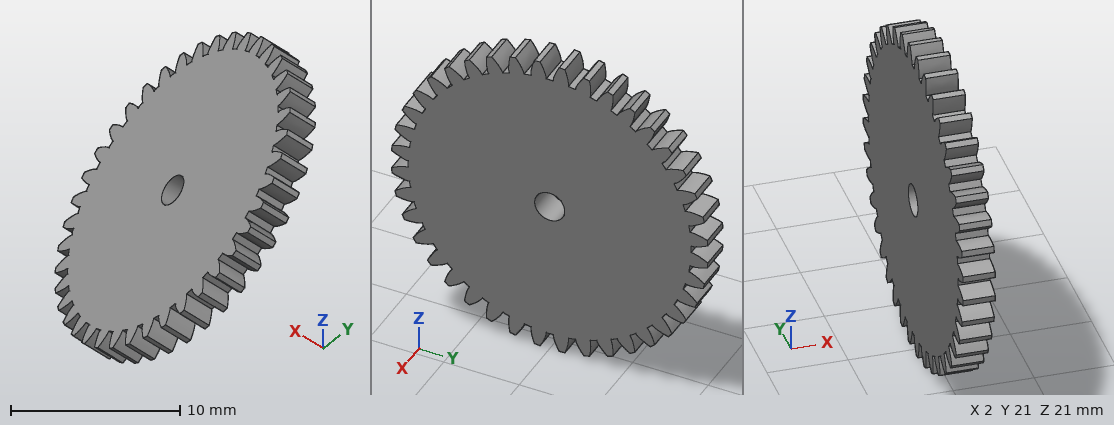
import cadquery as cq
import math

overall_height = 20.95
face_width = 2.0
bore_diameter = 2.0
tooth_count = 40
pressure_angle = math.radians(20)
addendum_factor = 1.0
dedendum_factor = 1.25
flank_samples = 7

tooth_pitch = 2 * math.pi / tooth_count


def involute(angle):
    """Polar angle swept by an involute at the given pressure angle."""
    return math.tan(angle) - angle


def half_tooth_angle(radius_ratio):
    """Half the angle a tooth fills at a radius given as a multiple of the base radius."""
    return tooth_pitch / 4 + involute(pressure_angle) - involute(math.acos(1 / radius_ratio))


tip_to_pitch = (tooth_count + 2 * addendum_factor) / tooth_count
tip_half_angle = half_tooth_angle(tip_to_pitch / math.cos(pressure_angle))
tip_radius = overall_height / 2 / math.cos(tooth_pitch / 2 - tip_half_angle)
pitch_radius = tip_radius / tip_to_pitch
module = 2 * pitch_radius / tooth_count
root_radius = pitch_radius - dedendum_factor * module
base_radius = pitch_radius * math.cos(pressure_angle)
root_half_angle = half_tooth_angle(1.0)


def polar(radius, angle):
    return (radius * math.cos(angle), radius * math.sin(angle))


def flank(center_angle, side):
    """Involute points from the base circle out to the tip; side is -1 or +1."""
    points = []
    for i in range(flank_samples):
        radius = base_radius + (tip_radius - base_radius) * i / (flank_samples - 1)
        points.append(polar(radius, center_angle + side * half_tooth_angle(radius / base_radius)))
    return points


def gear_outline():
    """Closed outline, tooth by tooth: radial root, flank, tip arc, flank, radial root, gap arc."""
    first_center = tooth_pitch / 2
    outline = cq.Workplane("YZ").moveTo(*polar(root_radius, first_center - root_half_angle))
    for tooth in range(tooth_count):
        center = first_center + tooth * tooth_pitch
        rising = flank(center, -1)
        falling = flank(center, 1)[::-1]
        outline = (
            outline.lineTo(*rising[0])
            .spline(rising[1:], includeCurrent=True)
            .threePointArc(polar(tip_radius, center), falling[0])
            .spline(falling[1:], includeCurrent=True)
            .lineTo(*polar(root_radius, center + root_half_angle))
            .threePointArc(
                polar(root_radius, center + tooth_pitch / 2),
                polar(root_radius, center + tooth_pitch - root_half_angle),
            )
        )
    return outline.close()


gear = gear_outline().extrude(face_width)
bore = cq.Workplane("YZ").circle(bore_diameter / 2).extrude(face_width)
result = gear.cut(bore)